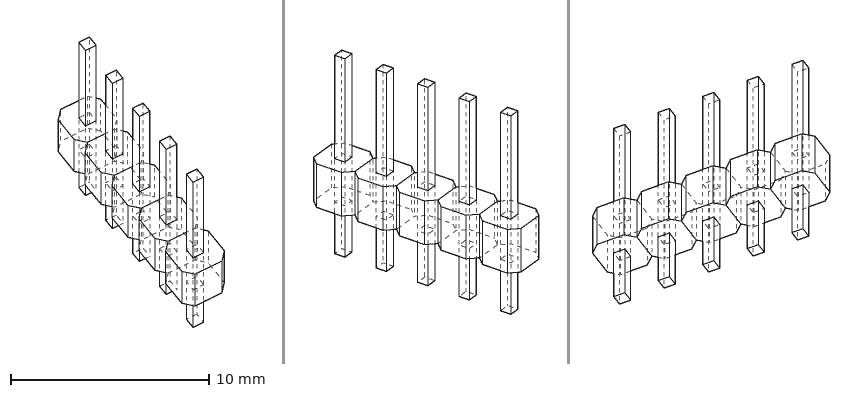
import cadquery as cq

pin_count = 5
pitch = 2.54
block_depth = 2.54
block_height = 2.54
corner_cut_x = 0.51
corner_cut_y = 0.47
pin_width = 0.64
pin_above = 6.01
pin_below = 3.0

pin_length = pin_below + block_height + pin_above


def make_block(x):
    """Eight-sided block centred at x, standing on Z = 0, with a square pin hole."""
    half_x = pitch / 2
    half_y = block_depth / 2
    flat_x = half_x - corner_cut_x
    flat_y = half_y - corner_cut_y
    outline = [
        (half_x, -flat_y),
        (half_x, flat_y),
        (flat_x, half_y),
        (-flat_x, half_y),
        (-half_x, flat_y),
        (-half_x, -flat_y),
        (-flat_x, -half_y),
        (flat_x, -half_y),
    ]
    body = cq.Workplane("XY").center(x, 0).polyline(outline).close().extrude(block_height)
    pin_hole = cq.Workplane("XY").center(x, 0).rect(pin_width, pin_width).extrude(block_height)
    return body.cut(pin_hole)


def make_pin(x):
    """Square pin at x, filling the block's hole and reaching out above and below."""
    base = cq.Workplane("XY").workplane(offset=-pin_below).center(x, 0)
    return base.rect(pin_width, pin_width).extrude(pin_length)


blocks = []
pins = []
for index in range(pin_count):
    x = (index - (pin_count - 1) / 2) * pitch
    blocks.append(make_block(x).val())
    pins.append(make_pin(x).val())

result = cq.Compound.makeCompound([*blocks, *pins])